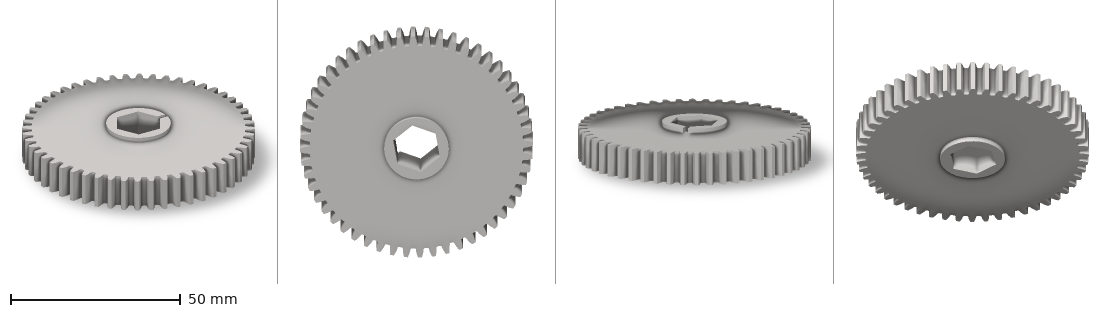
import cadquery as cq
import math

outer_span = 68.5
tooth_count = 52
pressure_angle = math.radians(14.5)
addendum_factor = 1.0
dedendum_factor = 1.25
root_fillet = 0.5
backlash = 0.08
flank_steps = 4

gear_thickness = 9.6
hub_length = 12.7
hub_diameter = 19.05
hex_across_flats = 12.7
notch_width = 1.45

boss_height = (hub_length - gear_thickness) / 2
tooth_pitch = 2 * math.pi / tooth_count
nominal_pitch_radius = outer_span / 2 / (1 + 2 * addendum_factor / tooth_count)
pitch_gap_half_angle = tooth_pitch / 4 + backlash / 2 / nominal_pitch_radius


def involute(angle):
    return math.tan(angle) - angle


def gap_half_angle(radius_ratio):
    """Half of the angle between neighbouring teeth at a radius given in pitch radii."""
    local_angle = math.acos(min(1.0, math.cos(pressure_angle) / radius_ratio))
    return pitch_gap_half_angle - involute(pressure_angle) + involute(local_angle)


tip_ratio = 1 + 2 * addendum_factor / tooth_count
base_ratio = math.cos(pressure_angle)
tip_radius = outer_span / 2 / math.cos(gap_half_angle(tip_ratio))
pitch_radius = tip_radius / tip_ratio
root_radius = pitch_radius * (1 - 2 * dedendum_factor / tooth_count)

fillet_center_radius = root_radius + root_fillet
fillet_angle = math.asin(root_fillet / fillet_center_radius)
fillet_middle_turn = 3 * math.pi / 4 - fillet_angle / 2


def polar(radius, angle):
    return (radius * math.cos(angle), radius * math.sin(angle))


def flank_points(gap_angle, side):
    """Flank points from the base circle to the tip, on side -1 or +1 of a gap."""
    ratios = [
        base_ratio + (tip_ratio - base_ratio) * step / flank_steps
        for step in range(flank_steps + 1)
    ]
    return [polar(pitch_radius * ratio, gap_angle + side * gap_half_angle(ratio)) for ratio in ratios]


def root_points(gap_angle, side):
    """End of the root circle and middle of the root fillet, on side -1 or +1 of a gap."""
    center_angle = gap_angle + side * (gap_half_angle(base_ratio) - fillet_angle)
    center_x, center_y = polar(fillet_center_radius, center_angle)
    middle_x, middle_y = polar(root_fillet, center_angle + side * fillet_middle_turn)
    return [
        polar(root_radius, center_angle),
        (center_x + middle_x, center_y + middle_y),
    ]


def gap_points(gap_angle):
    """Points of one gap from tip corner to tip corner, for a single smooth curve."""
    falling_side = root_points(gap_angle, -1) + flank_points(gap_angle, -1)
    rising_side = root_points(gap_angle, 1) + flank_points(gap_angle, 1)
    return falling_side[::-1] + [polar(root_radius, gap_angle)] + rising_side


def make_gear():
    tip_corner_angle = gap_half_angle(tip_ratio)
    outline = (
        cq.Workplane("XY", origin=(0, 0, -gear_thickness / 2))
        .moveTo(*polar(tip_radius, -tip_corner_angle))
    )
    for gap in range(tooth_count):
        gap_angle = gap * tooth_pitch
        tooth_angle = gap_angle + tooth_pitch / 2
        next_corner_angle = gap_angle + tooth_pitch - tip_corner_angle
        outline = (
            outline.spline(gap_points(gap_angle)[1:], includeCurrent=True)
            .threePointArc(polar(tip_radius, tooth_angle), polar(tip_radius, next_corner_angle))
        )
    return outline.close().extrude(gear_thickness)


def make_hub():
    return cq.Workplane("XY").circle(hub_diameter / 2).extrude(hub_length / 2, both=True)


def make_hex_bore():
    """Hexagonal through hole with two corners on the Y axis."""
    corner_diameter = hex_across_flats / math.cos(math.pi / 6)
    return (
        cq.Workplane("XY")
        .polygon(6, corner_diameter)
        .extrude(hub_length, both=True)
        .rotate((0, 0, 0), (0, 0, 1), 90)
    )


def make_notch():
    """Slot through the +Y side of the upper boss, down to the gear face."""
    return (
        cq.Workplane("XY", origin=(0, hub_diameter / 2, gear_thickness / 2))
        .rect(notch_width, hub_diameter)
        .extrude(boss_height)
    )


result = make_gear().union(make_hub()).cut(make_hex_bore()).cut(make_notch())